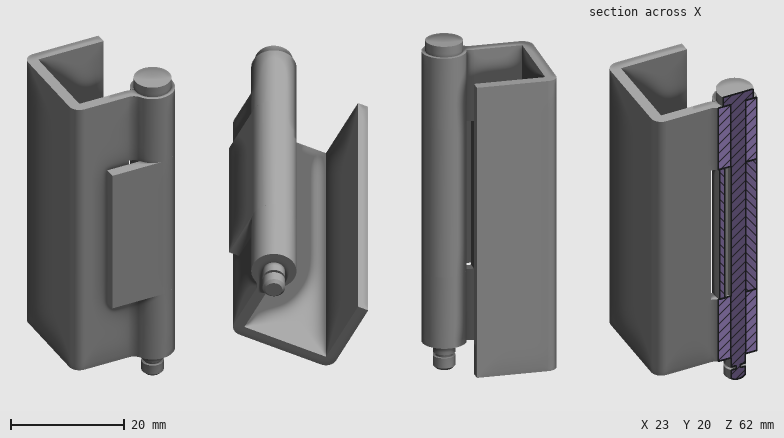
import cadquery as cq
import math


sheet = 2.0
pin_radius = 2.0
knuckle_radius = pin_radius + sheet
roll_clearance = math.radians(1.0)

channel_width = 20.0
channel_height = 55.0
free_wall_depth = 15.0
corner_radius = 2.0

axis_x = 19.0
axis_y = 16.0
axis = (axis_x, axis_y)

bend_inner_radius = 2.0
bend_outer_radius = bend_inner_radius + sheet
bend_x = channel_width + bend_inner_radius
bend_reach = bend_inner_radius + knuckle_radius
bend_y = axis_y - math.sqrt(bend_reach**2 - (bend_x - axis_x) ** 2)
bend_center = (bend_x, bend_y)

end_knuckle_length = 13.5
middle_knuckle_length = channel_height - 2 * end_knuckle_length

leaf_end_y = 6.0
leaf_outer_x = axis_x + knuckle_radius
leaf_inner_x = axis_x + pin_radius

head_diameter = 6.7
head_height = 2.0
pin_tail = 5.0
groove_offset = 2.0
groove_width = 0.6
groove_depth = 0.5
tip_chamfer = 0.5


def polar(center, radius, angle):
    """Point on a circle at an angle in radians."""
    x, y = center
    return (x + radius * math.cos(angle), y + radius * math.sin(angle))


def arc(outline, center, radius, start, end):
    """Continue an outline along a circle from one angle to another."""
    middle = (start + end) / 2
    return outline.threePointArc(polar(center, radius, middle), polar(center, radius, end))


def roll(outline, start, end):
    """Continue an outline around the outside of a knuckle and back along the pin bore."""
    outline = arc(outline, axis, knuckle_radius, start, end)
    outline = outline.lineTo(*polar(axis, pin_radius, end))
    return arc(outline, axis, pin_radius, end, start)


def make_channel_knuckle(base):
    """Reverse bend and roll, starting where the straight wall ends."""
    roll_start = math.atan2(bend_y - axis_y, bend_x - axis_x)
    bend_end = roll_start + math.pi

    cosine = (bend_reach**2 + knuckle_radius**2 - bend_outer_radius**2) / (2 * bend_reach * knuckle_radius)
    roll_end = roll_start + 2 * math.pi - math.acos(cosine) - roll_clearance

    outline = cq.Workplane("XY", origin=(0, 0, base)).moveTo(channel_width, bend_y)
    outline = arc(outline, bend_center, bend_inner_radius, math.pi, bend_end)
    outline = roll(outline, roll_start, roll_end)
    outline = arc(outline, bend_center, bend_outer_radius, bend_end, math.pi)
    return outline.close().extrude(end_knuckle_length)


def make_channel():
    """U-channel whose right wall rolls around the pin at both ends."""
    body = (
        cq.Workplane("XY")
        .polyline(
            [
                (0, free_wall_depth),
                (0, 0),
                (channel_width, 0),
                (channel_width, bend_y),
                (channel_width - sheet, bend_y),
                (channel_width - sheet, sheet),
                (sheet, sheet),
                (sheet, free_wall_depth),
            ]
        )
        .close()
        .extrude(channel_height)
    )
    body = body.faces("<Y").edges("|Z").fillet(corner_radius)
    for base in (0, channel_height - end_knuckle_length):
        body = body.union(make_channel_knuckle(base))
    return body


def make_leaf():
    """Flat leaf whose edge rolls around the pin between the channel knuckles."""
    roll_end = 2 * math.pi - math.acos(pin_radius / knuckle_radius) - roll_clearance

    outline = (
        cq.Workplane("XY", origin=(0, 0, end_knuckle_length))
        .moveTo(leaf_inner_x, leaf_end_y)
        .lineTo(leaf_outer_x, leaf_end_y)
        .lineTo(leaf_outer_x, axis_y)
    )
    outline = roll(outline, 0, roll_end)
    return outline.close().extrude(middle_knuckle_length)


def pin_disc(radius, base, height):
    """Cylinder on the hinge axis."""
    return cq.Workplane("XY", origin=(axis_x, axis_y, base)).circle(radius).extrude(height)


def make_pin():
    """Headed pin with a retaining-ring groove and a chamfered tip."""
    shank = pin_disc(pin_radius, -pin_tail, pin_tail + channel_height)
    shank = shank.faces("<Z").chamfer(tip_chamfer)
    head = pin_disc(head_diameter / 2, channel_height, head_height)

    groove_base = -groove_offset - groove_width
    groove = pin_disc(pin_radius, groove_base, groove_width)
    groove = groove.cut(pin_disc(pin_radius - groove_depth, groove_base, groove_width))
    return shank.union(head).cut(groove)


channel = make_channel()
leaf = make_leaf()
pin = make_pin()

result = cq.Compound.makeCompound([channel.val(), leaf.val(), pin.val()])